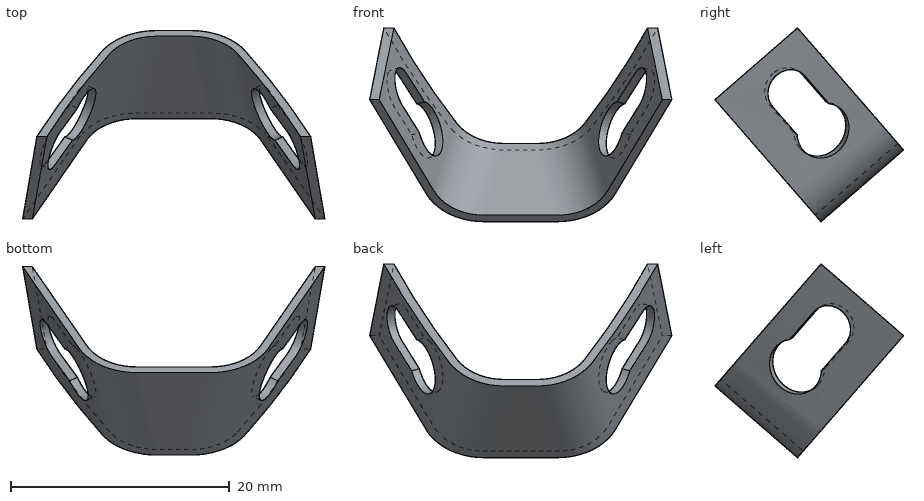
import cadquery as cq
import math

tilt_angle = 41.0
strip_width = 10.0
bracket_height = 14.8
thickness = 0.8
bend_radius = 5.0

front_flat_half = 3.37
front_tip_half = 13.82
front_bend_angle = 65.0
front_arm_bow = 0.0
back_flat_half = 1.55
back_tip_half = 12.53
back_bend_angle = 59.0
back_arm_bow = 0.22

keyhole_half_spacing = 9.07
keyhole_offset = 5.6
keyhole_height = 6.15
keyhole_radius = 2.57
slot_radius = 2.05
slot_length = 5.28
cut_depth = 5 * thickness
arm_lean = 26.0
arm_taper = 8.0


def bend_points(flat_half, radius, base_height, angle):
    """Middle and end of a bend that starts level at the end of the flat."""
    points = []
    for turn in (math.radians(angle / 2), math.radians(angle)):
        x = flat_half + radius * math.sin(turn)
        z = base_height + radius * (1 - math.cos(turn))
        points.append((x, z))
    return points


def bowed_middle(start, end, bow):
    """Midpoint of an arm, pushed outward from its chord by the bow."""
    dx = end[0] - start[0]
    dz = end[1] - start[1]
    chord = math.hypot(dx, dz)
    x = (start[0] + end[0]) / 2 + bow * dz / chord
    z = (start[1] + end[1]) / 2 - bow * dx / chord
    return (x, z)


def mirrored(point):
    return (-point[0], point[1])


def add_arm(sketch, middle, end, bow):
    """Continue the outline along an arm: straight, or an arc when bowed."""
    if bow == 0:
        return sketch.lineTo(*end)
    return sketch.threePointArc(middle, end)


def edge_profile(y, flat_half, tip_half, bend_angle, bow):
    """Closed outline of the bent strip at one of its long edges."""
    outer_mid, outer_end = bend_points(flat_half, bend_radius + thickness, 0, bend_angle)
    inner_mid, inner_end = bend_points(flat_half, bend_radius, thickness, bend_angle)
    tip_width = thickness / math.sin(math.radians(bend_angle))
    outer_tip = (tip_half, bracket_height)
    inner_tip = (tip_half - tip_width, bracket_height)
    outer_arm_mid = bowed_middle(outer_end, outer_tip, bow)
    inner_arm_mid = bowed_middle(inner_end, inner_tip, bow)

    sketch = cq.Workplane("XZ", origin=(0, y, 0)).moveTo(-flat_half, 0).lineTo(flat_half, 0)
    sketch = sketch.threePointArc(outer_mid, outer_end)
    sketch = add_arm(sketch, outer_arm_mid, outer_tip, bow)
    sketch = sketch.lineTo(*inner_tip)
    sketch = add_arm(sketch, inner_arm_mid, inner_end, bow)
    sketch = sketch.threePointArc(inner_mid, (flat_half, thickness))
    sketch = sketch.lineTo(-flat_half, thickness)
    sketch = sketch.threePointArc(mirrored(inner_mid), mirrored(inner_end))
    sketch = add_arm(sketch, mirrored(inner_arm_mid), mirrored(inner_tip), bow)
    sketch = sketch.lineTo(*mirrored(outer_tip))
    sketch = add_arm(sketch, mirrored(outer_arm_mid), mirrored(outer_end), bow)
    sketch = sketch.threePointArc(mirrored(outer_mid), (-flat_half, 0))
    return sketch.close().val()


def keyhole_cutter():
    """Keyhole through the +X arm, its slot running up the arm."""
    lean = math.radians(arm_lean)
    plane = cq.Plane(
        origin=(keyhole_half_spacing, keyhole_offset, keyhole_height),
        xDir=(math.sin(lean), 0, math.cos(lean)),
        normal=(math.cos(lean), math.tan(math.radians(arm_taper)), -math.sin(lean)),
    )
    base = cq.Workplane(plane)
    round_end = base.circle(keyhole_radius).extrude(cut_depth, both=True)
    slot = (
        base.center(slot_length / 2, 0)
        .slot2D(slot_length + 2 * slot_radius, 2 * slot_radius)
        .extrude(cut_depth, both=True)
    )
    return round_end.union(slot)


front_profile = edge_profile(0, front_flat_half, front_tip_half, front_bend_angle, front_arm_bow)
back_profile = edge_profile(strip_width, back_flat_half, back_tip_half, back_bend_angle, back_arm_bow)
strip = cq.Workplane(cq.Solid.makeLoft([front_profile, back_profile], True))

keyhole = keyhole_cutter()
bracket = strip.cut(keyhole).cut(keyhole.mirror("YZ"))
result = bracket.rotate((0, 0, 0), (1, 0, 0), tilt_angle)